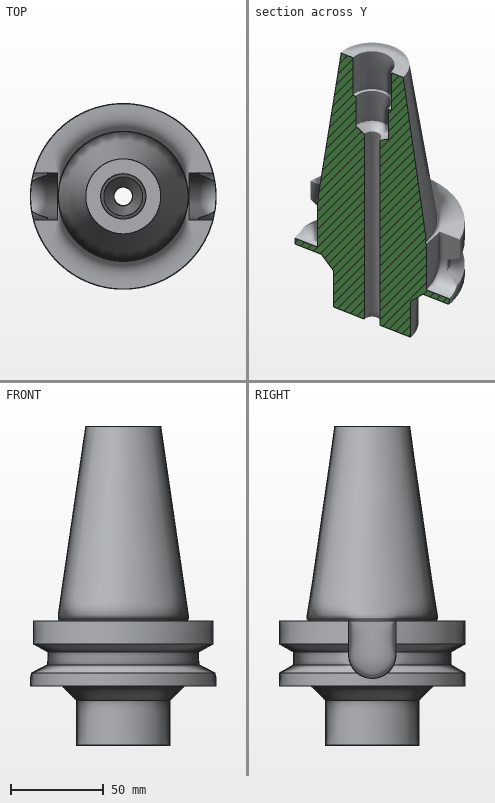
import cadquery as cq
import math

total_height = 171.8
nose_top = 24.2
flange_bottom = 32.0
groove_bottom = 43.3
groove_top = 50.3
flange_top = 67.0
gauge_plane = 70.0
collar_bottom = 68.0

nose_radius = 25.0
flange_radius = 50.0
groove_radius = 42.5
gauge_radius = 35.0
neck_radius = 34.7
groove_flank_angle = 60.0
taper_ratio = 7 / 24

slot_width = 25.5
slot_floor_x = 35.4
slot_bottom = 36.0

pilot_radius = 12.2
pilot_depth = 25.0
thread_radius = 10.5
thread_depth = 45.0
coolant_radius = 5.0
drill_point_angle = 120.0


def taper_radius(height):
    """Radius of the shank cone at a given height."""
    return gauge_radius - (height - gauge_plane) * taper_ratio / 2


def make_body():
    """Solid of revolution: nose, cone, grooved flange and tapered shank."""
    flank_height = (flange_radius - groove_radius) * math.tan(math.radians(groove_flank_angle / 2))
    flare_radius = nose_radius + flange_bottom - nose_top
    outline = [
        (0, 0),
        (nose_radius, 0),
        (nose_radius, nose_top),
        (flare_radius, flange_bottom),
        (flange_radius, flange_bottom),
        (flange_radius, groove_bottom - flank_height),
        (groove_radius, groove_bottom),
        (groove_radius, groove_top),
        (flange_radius, groove_top + flank_height),
        (flange_radius, flange_top),
        (neck_radius, flange_top),
        (neck_radius, collar_bottom),
        (gauge_radius, collar_bottom),
        (gauge_radius, gauge_plane),
        (taper_radius(total_height), total_height),
        (0, total_height),
    ]
    return cq.Workplane("XZ").polyline(outline).close().revolve(360, (0, 0), (0, 1))


def make_bore():
    """Through bore with a pilot, a thread core hole and a conical drill point."""
    pilot_floor = total_height - pilot_depth
    thread_floor = total_height - thread_depth
    point_height = (thread_radius - coolant_radius) / math.tan(math.radians(drill_point_angle / 2))
    outline = [
        (0, 0),
        (coolant_radius, 0),
        (coolant_radius, thread_floor - point_height),
        (thread_radius, thread_floor),
        (thread_radius, pilot_floor),
        (pilot_radius, pilot_floor),
        (pilot_radius, total_height),
        (0, total_height),
    ]
    return cq.Workplane("XZ").polyline(outline).close().revolve(360, (0, 0), (0, 1))


def make_slot():
    """Round-bottomed drive slot on the +X side, open at the top of the flange."""
    half_width = slot_width / 2
    arc_center = slot_bottom + half_width
    return (
        cq.Workplane("YZ", origin=(slot_floor_x, 0, 0))
        .moveTo(-half_width, flange_top)
        .lineTo(-half_width, arc_center)
        .threePointArc((0, slot_bottom), (half_width, arc_center))
        .lineTo(half_width, flange_top)
        .close()
        .extrude(flange_radius - slot_floor_x)
    )


result = make_body().cut(make_bore())
for angle in (0, 180):
    result = result.cut(make_slot().rotate((0, 0, 0), (0, 0, 1), angle))